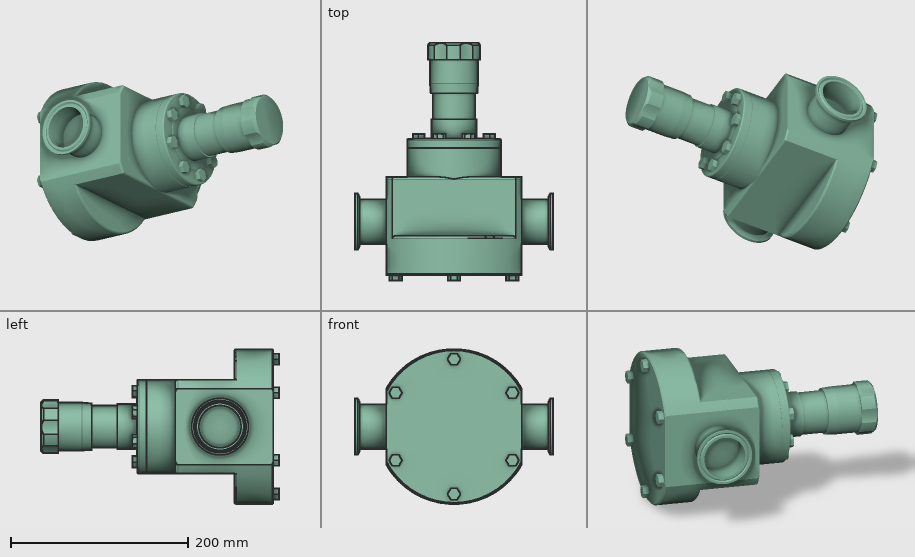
import cadquery as cq
import math


overall_width = 224.03
overall_length = 268.93

body_radius = 87.63
body_half_width = 76.4
body_half_height = 53.1
body_back_y = 50.4
cover_joint_y = -50.8
cover_thickness = 9.525
rim_back_y = -16.2
cover_chamfer = 1.6
back_fillet = 2.4

flange_radius = body_half_height
flange_end_y = 93.4
flange_fillet = 1.6
groove_y = 82.6
groove_width = 0.8
groove_depth = 0.6

hex_sides = 6
hex_flats = 12.7
hex_corner_circle = hex_flats / math.cos(math.pi / hex_sides)
front_hex_height = 6.35
rear_hex_height = 5.6
front_bolt_radius = 76.2
front_bolt_count = 6
rear_bolt_radius = 42.8
rear_bolt_count = 8

pilot_radius = 36.0
pilot_height = 0.8
collar_radius = 25.6
collar_end_y = 115.9
neck_radius = 24.1
neck_end_y = 144.9
sleeve_small_radius = 26.5
sleeve_radius = 27.3
sleeve_taper_end_y = 156.3
knob_start_y = 183.0
front_face_y = cover_joint_y - cover_thickness
knob_end_y = front_face_y - front_hex_height + overall_length
knob_radius = 30.35
knob_chamfer = 3.0
flute_count = 6
flute_turn = 1.5
flute_half_angle = 15.5
flute_floor_radius = 27.9

port_end_x = overall_width / 2
port_tube_radius = 25.4
port_bore_radius = 23.9
port_bore_end_x = 82.6
ferrule_radius = 32.0
ferrule_rim_thickness = 3.2
ferrule_back_thickness = 5.6
ferrule_shoulder_radius = 27.6
gasket_groove_radius = 28.2
gasket_groove_half_width = 1.4
gasket_groove_depth = 1.4


def cylinder_y(radius, y_start, y_end):
    """Cylinder on the Y axis."""
    return cq.Workplane("XZ", origin=(0, y_start, 0)).circle(radius).extrude(y_start - y_end)


def box_y(half_width, half_height, y_start, y_end):
    """Box centred on the Y axis."""
    base = cq.Workplane("XZ", origin=(0, y_start, 0))
    return base.rect(2 * half_width, 2 * half_height).extrude(y_start - y_end)


def revolve_y(profile):
    """Solid of revolution about Y from (radius, y) points."""
    return cq.Workplane("XY").polyline(profile).close().revolve(360, (0, 0, 0), (0, 1, 0))


def round_blank(y_end):
    """Round body from the front face to y_end, chamfered in front and rounded at the back."""
    blank = cylinder_y(body_radius, front_face_y, y_end)
    return blank.faces("<Y").chamfer(cover_chamfer).faces(">Y").edges().fillet(back_fillet)


def make_housing():
    rim = round_blank(rim_back_y)
    block = (
        box_y(body_half_width, body_half_height, front_face_y, body_back_y)
        .faces(">Y").edges("|X").fillet(back_fillet)
    )
    block = block.intersect(round_blank(body_back_y))
    side_flats = box_y(body_half_width, body_radius, front_face_y, body_back_y)
    return rim.union(block).intersect(side_flats)


def make_flange():
    flange = cylinder_y(flange_radius, 0, flange_end_y)
    flange = flange.faces(">Y").edges().fillet(flange_fillet)
    groove_end_y = groove_y + groove_width
    groove_core = cylinder_y(flange_radius - groove_depth, groove_y, groove_end_y)
    groove = cylinder_y(flange_radius, groove_y, groove_end_y).cut(groove_core)
    return flange.cut(groove)


def make_sleeve():
    return revolve_y([
        (0, 0),
        (pilot_radius, 0),
        (pilot_radius, flange_end_y + pilot_height),
        (collar_radius, flange_end_y + pilot_height),
        (collar_radius, collar_end_y),
        (neck_radius, collar_end_y),
        (neck_radius, neck_end_y),
        (sleeve_small_radius, neck_end_y),
        (sleeve_radius, sleeve_taper_end_y),
        (sleeve_radius, knob_start_y),
        (0, knob_start_y),
    ])


def make_knob():
    knob = cylinder_y(knob_radius, knob_start_y, knob_end_y).faces(">Y").chamfer(knob_chamfer)
    half_chord = knob_radius * math.sin(math.radians(flute_half_angle))
    sagitta = knob_radius * math.cos(math.radians(flute_half_angle)) - flute_floor_radius
    flute_radius = (half_chord ** 2 + sagitta ** 2) / (2 * sagitta)
    flutes = (
        cq.Workplane("XZ", origin=(0, knob_start_y, 0))
        .polarArray(flute_floor_radius + flute_radius, flute_turn, 360, flute_count)
        .circle(flute_radius)
        .extrude(knob_start_y - knob_end_y)
    )
    return knob.cut(flutes)


def make_front_bolts():
    """Heads on the cover, all with two flats facing up and down."""
    heads = cq.Workplane("XZ", origin=(0, front_face_y, 0))
    heads = heads.polarArray(front_bolt_radius, 90, 360, front_bolt_count, rotate=False)
    return heads.polygon(hex_sides, hex_corner_circle).extrude(front_hex_height)


def make_rear_bolts():
    """Heads on the rear flange, each with a corner pointing outwards."""
    heads = cq.Workplane("XZ", origin=(0, flange_end_y, 0))
    heads = heads.polarArray(rear_bolt_radius, 180 / rear_bolt_count, 360, rear_bolt_count)
    return heads.polygon(hex_sides, hex_corner_circle).extrude(-rear_hex_height)


def make_port():
    """Clamp ferrule port on the +X side, blind bored from its open end."""
    profile = [
        (port_bore_end_x, 0),
        (port_bore_end_x, port_bore_radius),
        (port_end_x, port_bore_radius),
        (port_end_x, gasket_groove_radius - gasket_groove_half_width),
        (port_end_x - gasket_groove_depth, gasket_groove_radius),
        (port_end_x, gasket_groove_radius + gasket_groove_half_width),
        (port_end_x, ferrule_radius),
        (port_end_x - ferrule_rim_thickness, ferrule_radius),
        (port_end_x - ferrule_back_thickness, ferrule_shoulder_radius),
        (port_end_x - ferrule_back_thickness, port_tube_radius),
        (0, port_tube_radius),
        (0, 0),
    ]
    return cq.Workplane("XY").polyline(profile).close().revolve(360, (0, 0, 0), (1, 0, 0))


port = make_port()
result = (
    make_housing()
    .union(make_flange())
    .union(make_sleeve())
    .union(make_knob())
    .union(make_front_bolts())
    .union(make_rear_bolts())
    .union(port)
    .union(port.mirror("YZ"))
)